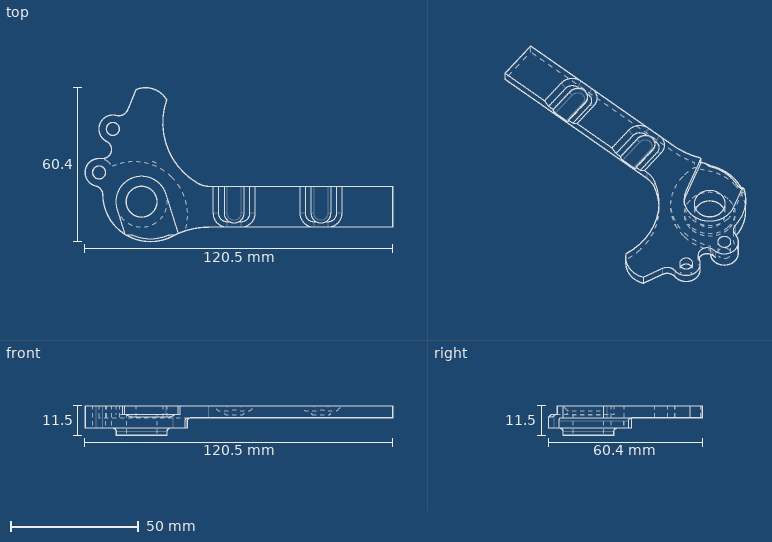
import cadquery as cq
import math


plate_thickness = 4.7
pad_thickness = 8.7
total_height = 11.5

bore_diameter = 12.0
boss_diameter = 20.0
boss_root_fillet = 1.25
boss_embed = 1.0

head_center = (3.45, 3.01)
head_radius = 18.7

arm_top = 6.0
arm_bottom = -10.0
arm_end = 98.37
arm_lower_blend = 30.0
arm_upper_blend = 10.0

lug_radius = 5.5
lug_hole_diameter = 5.0
lower_lug = (-16.65, 11.46)
upper_lug = (-11.24, 28.5)
lug_blend = 3.5
horn_blend = 3.8

horn_inner_center = (35.66, 30.9)
horn_inner_radius = 27.3
tip_center = (1.55, 35.1)
tip_radius = 9.6
flank_top_x = -2.17
flank_angle = 67.6

pad_center = (-2.95, -5.15)
pad_radius = 20.9
pad_root_fillet = 1.25

recess_depth = 3.3
recess_radius = 10.0
recess_lean = 17.4
recess_front = -12.2
rim_chamfer = 1.1
rim_chamfer_front = -13.0

notch_centers = (36.25, 70.25)
notch_half_width = 8.2
notch_corner = 5.5
notch_depth = 2.0
notch_bevel = 2.1
slot_half_width = 3.85
slot_depth = 1.6
slot_floor_fillet = 1.1

clearance = 5.0


def along(start, end, distance):
    """Point at a distance from start towards end."""
    share = distance / math.dist(start, end)
    return (start[0] + share * (end[0] - start[0]), start[1] + share * (end[1] - start[1]))


def circle_crossing(center_a, radius_a, center_b, radius_b):
    """Crossing of two circles that lies to the left when looking from a to b."""
    gap = math.dist(center_a, center_b)
    reach = (gap**2 + radius_a**2 - radius_b**2) / (2 * gap)
    rise = math.sqrt(radius_a**2 - reach**2)
    ux = (center_b[0] - center_a[0]) / gap
    uy = (center_b[1] - center_a[1]) / gap
    return (center_a[0] + reach * ux - rise * uy, center_a[1] + reach * uy + rise * ux)


def run_to(distance, rise):
    """Horizontal leg of a right triangle with the given hypotenuse and vertical leg."""
    return math.sqrt(distance**2 - rise**2)


def arc_middle(center, start, end, turn):
    """Midpoint of the arc from start to end; turn is +1 counterclockwise, -1 clockwise."""
    radius = math.dist(center, start)
    first = math.atan2(start[1] - center[1], start[0] - center[0])
    last = math.atan2(end[1] - center[1], end[0] - center[0])
    sweep = turn * ((turn * (last - first)) % (2 * math.pi))
    angle = first + sweep / 2
    return (center[0] + radius * math.cos(angle), center[1] + radius * math.sin(angle))


def horn_flank():
    """Top and bottom of the straight horn flank, and the center of the blend below it."""
    top = (flank_top_x, tip_center[1] + run_to(tip_radius, flank_top_x - tip_center[0]))
    ux = math.cos(math.radians(flank_angle))
    uy = math.sin(math.radians(flank_angle))
    dx = top[0] - horn_blend * uy - upper_lug[0]
    dy = top[1] + horn_blend * ux - upper_lug[1]
    forward = dx * ux + dy * uy
    sideways = dy * ux - dx * uy
    length = forward - run_to(lug_radius + horn_blend, sideways)
    bottom = (top[0] - length * ux, top[1] - length * uy)
    return top, bottom, (bottom[0] - horn_blend * uy, bottom[1] + horn_blend * ux)


def outline():
    """Wire workplane of the plate outline, counterclockwise from the lower arm corner."""
    upper_blend_y = arm_top + arm_upper_blend
    upper_blend_run = run_to(horn_inner_radius - arm_upper_blend, horn_inner_center[1] - upper_blend_y)
    upper_blend = (horn_inner_center[0] - upper_blend_run, upper_blend_y)
    flank_top, flank_bottom, horn_fillet = horn_flank()
    gap_y = lower_lug[1] + lug_radius + lug_blend
    gap = (upper_lug[0] - run_to(lug_radius + lug_blend, upper_lug[1] - gap_y), gap_y)
    neck = circle_crossing(head_center, head_radius + lug_blend, lower_lug, lug_radius + lug_blend)
    lower_blend_y = arm_bottom - arm_lower_blend
    lower_blend_run = run_to(head_radius + arm_lower_blend, head_center[1] - lower_blend_y)
    lower_blend = (head_center[0] + lower_blend_run, lower_blend_y)

    steps = [
        ((arm_end, arm_top), None, 0),
        ((upper_blend[0], arm_top), None, 0),
        (along(horn_inner_center, upper_blend, horn_inner_radius), upper_blend, -1),
        (
            circle_crossing(tip_center, tip_radius, horn_inner_center, horn_inner_radius),
            horn_inner_center,
            -1,
        ),
        (flank_top, tip_center, 1),
        (flank_bottom, None, 0),
        (along(upper_lug, horn_fillet, lug_radius), horn_fillet, -1),
        (along(upper_lug, gap, lug_radius), upper_lug, 1),
        ((gap[0], gap_y - lug_blend), gap, -1),
        ((lower_lug[0], lower_lug[1] + lug_radius), None, 0),
        (along(lower_lug, neck, lug_radius), lower_lug, 1),
        (along(head_center, neck, head_radius), neck, -1),
        (along(head_center, lower_blend, head_radius), head_center, 1),
        ((lower_blend[0], arm_bottom), lower_blend, -1),
    ]
    start = (arm_end, arm_bottom)
    wire = cq.Workplane("XY").moveTo(*start)
    for end, center, turn in steps:
        if center is None:
            wire = wire.lineTo(*end)
        else:
            wire = wire.threePointArc(arc_middle(center, start, end, turn), end)
        start = end
    return wire.close()


def cylinder(center, radius, top, bottom):
    """Upright cylinder between two levels."""
    return cq.Workplane("XY", origin=(*center, bottom)).circle(radius).extrude(top - bottom)


def rooted_disc(center, radius, top, bottom, fillet, embed):
    """Disc hanging from a face at the top level, with a concave fillet below that face.

    The disc also reaches into the material above the face by the embed depth.
    """
    flare = (radius + fillet, top)
    fillet_center = (radius + fillet, top - fillet)
    fillet_end = (radius, top - fillet)
    return (
        cq.Workplane("XZ")
        .moveTo(0, top + embed)
        .lineTo(flare[0], top + embed)
        .lineTo(*flare)
        .threePointArc(arc_middle(fillet_center, flare, fillet_end, 1), fillet_end)
        .lineTo(radius, bottom)
        .lineTo(0, bottom)
        .close()
        .revolve(360, (0, 0, 0), (0, 1, 0))
        .translate((*center, 0))
    )


def plate():
    """Thin plate, thickened by a filleted pad under the head and by the lower lug."""
    pad = rooted_disc(
        pad_center, pad_radius, -plate_thickness, -pad_thickness, pad_root_fillet, plate_thickness
    )
    pad = pad.union(cylinder(lower_lug, lug_radius, 0, -pad_thickness))
    pad = pad.intersect(outline().extrude(-pad_thickness))
    return outline().extrude(-plate_thickness).union(pad)


def boss():
    """Boss around the pivot below the pad."""
    return rooted_disc((0, 0), boss_diameter / 2, -pad_thickness, -total_height, boss_root_fillet, boss_embed)


def recess():
    """Recess with a round back and parallel leaning sides, open across the front of the head."""
    ux = recess_radius * math.cos(math.radians(recess_lean))
    uy = recess_radius * math.sin(math.radians(recess_lean))
    slope = math.tan(math.radians(recess_lean))
    front_left = -ux + (-uy - recess_front) * slope
    front_right = ux + (uy - recess_front) * slope
    pocket = (
        cq.Workplane("XY")
        .moveTo(front_left, recess_front)
        .lineTo(-ux, -uy)
        .threePointArc((-uy, ux), (ux, uy))
        .lineTo(front_right, recess_front)
        .close()
        .extrude(-recess_depth)
    )
    front = cq.Workplane("XY").box(
        2 * head_radius, head_radius, recess_depth, centered=(True, False, False)
    ).translate((head_center[0], recess_front - head_radius, -recess_depth))
    return pocket.union(front)


def rim_bevel():
    """Chamfer on the front rim of the recess floor, running out along a sloped plane at both ends."""
    floor = -recess_depth
    inner = head_radius - rim_chamfer
    ring = (
        cq.Workplane("XZ")
        .moveTo(inner, floor)
        .lineTo(head_radius + clearance, floor)
        .lineTo(head_radius + clearance, floor - rim_chamfer)
        .lineTo(head_radius, floor - rim_chamfer)
        .close()
        .revolve(360, (0, 0, 0), (0, 1, 0))
        .translate((*head_center, 0))
    )
    wedge = (
        cq.Workplane("YZ", origin=(head_center[0] - head_radius, 0, 0))
        .moveTo(rim_chamfer_front, floor)
        .lineTo(rim_chamfer_front - clearance, floor)
        .lineTo(rim_chamfer_front - clearance, floor - clearance)
        .close()
        .extrude(2 * head_radius)
    )
    return ring.intersect(wedge)


def channel(half_width, corner, front):
    """Outline of a channel open towards +Y, with rounded corners at its closed front end."""
    back = arm_top + clearance
    shape = cq.Workplane("XY").moveTo(-half_width, back)
    shape = shape.lineTo(-half_width, front + corner)
    shape = shape.radiusArc((corner - half_width, front), -corner)
    if corner < half_width:
        shape = shape.lineTo(half_width - corner, front)
    return shape.radiusArc((half_width, front + corner), -corner).lineTo(half_width, back).close()


def notch():
    """Notch about X = 0: a bevelled channel with a narrower, upright slot in its floor."""
    bevel_angle = math.degrees(math.atan2(notch_bevel, notch_depth))
    mouth = channel(notch_half_width, notch_corner, arm_bottom).extrude(-notch_depth, taper=bevel_angle)
    slot_front = arm_bottom + notch_corner - slot_half_width
    slot = channel(slot_half_width, slot_half_width, slot_front).extrude(-notch_depth - slot_depth)
    slot = slot.faces("<Z").edges().fillet(slot_floor_fillet)
    return mouth.union(slot)


def build():
    """Whole lever: plate and boss, less the recess, holes and notches."""
    part = plate().union(boss())
    part = part.cut(recess()).cut(rim_bevel())
    part = part.cut(cylinder((0, 0), bore_diameter / 2, 0, -total_height))
    for lug in (lower_lug, upper_lug):
        part = part.cut(cylinder(lug, lug_hole_diameter / 2, 0, -pad_thickness))
    for center in notch_centers:
        part = part.cut(notch().translate((center, 0, 0)))
    return part


result = build()